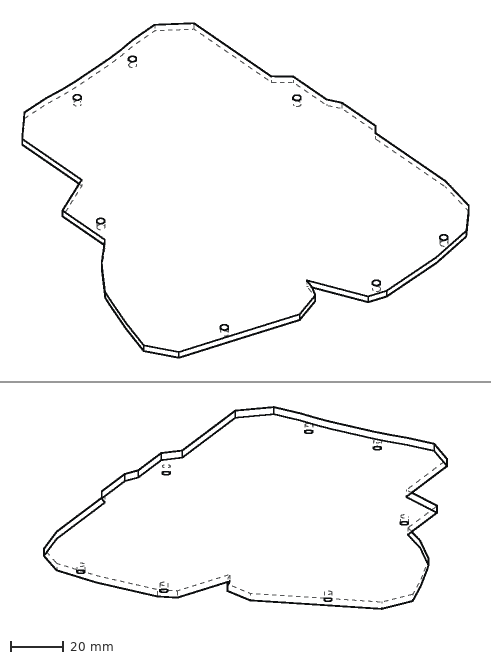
import cadquery as cq

width = 169.5
depth = 150.5
thickness = 3.0
hole_diameter = 3.0

corner_cut_x = 10.0
recess_start_x = 0.2
recess_slope_x = 1.0
left_recess_x = 1.4
upper_edge_y = 147.7
main_top_y = 141.8
main_bottom_y = 48.8
tab_bottom_y = 31.4

left_edge = [
    (corner_cut_x, main_bottom_y),
    (0, 60.0),
    (recess_start_x, 71.7),
    (recess_slope_x, 79.7),
    (left_recess_x, 85.8),
    (left_recess_x, 104.8),
    (recess_slope_x, 110.9),
    (recess_start_x, 118.7),
    (0, 130.4),
    (corner_cut_x, main_top_y),
]

top_edge = [
    (52.2, main_top_y),
    (58.2, upper_edge_y),
    (76.5, upper_edge_y),
    (81.9, depth),
    (100.4, depth),
    (103.1, upper_edge_y),
    (141.5, upper_edge_y),
]

right_edge = [
    (157.7, 144.3),
    (167.0, 133.6),
    (width, 115.0),
    (width, 88.0),
    (166.9, 80.7),
    (143.8, 70.4),
]

lobe_edge = [
    (148.2, 69.0),
    (152.1, 66.8),
    (155.5, 55.0),
    (146.7, 30.9),
    (138.0, 7.0),
    (125.8, 0),
    (112.0, 4.0),
    (97.3, 9.3),
    (94.0, 10.7),
    (81.2, 21.4),
    (72.9, tab_bottom_y),
]

bottom_edge = [
    (49.7, tab_bottom_y),
    (42.5, main_bottom_y),
]

hole_centers = [
    (7.8, 110.7),
    (8.3, 80.4),
    (67.8, 140.2),
    (163.6, 124.8),
    (163.6, 88.3),
    (140.4, 29.2),
    (64.3, 37.6),
]

outline = left_edge + top_edge + right_edge + lobe_edge + bottom_edge
plate = cq.Workplane("XY").polyline(outline).close().extrude(thickness)

result = (
    plate.faces(">Z")
    .workplane(origin=(0, 0, thickness))
    .pushPoints(hole_centers)
    .hole(hole_diameter)
)